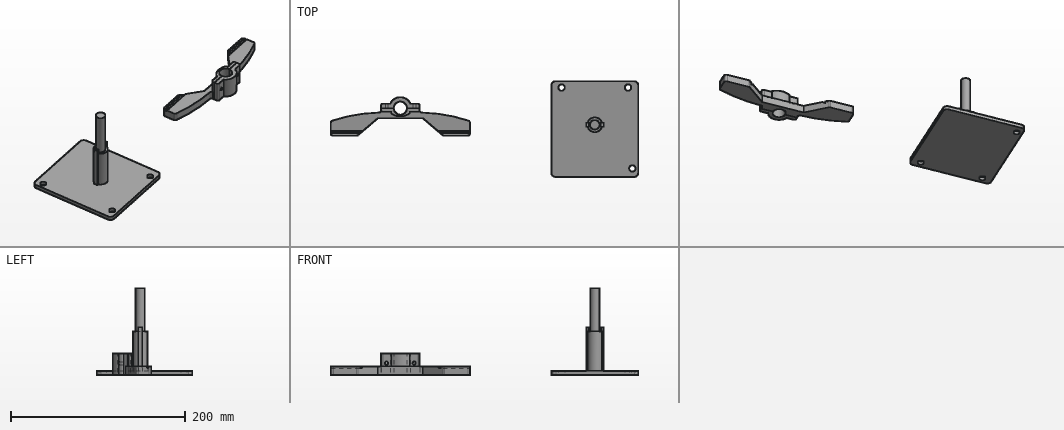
import cadquery as cq
import math


BAR_LENGTH = 160.0
BAR_THICKNESS = 10.0
BAR_BACK_Y = -5.0
BAR_MIDDLE_FRONT_Y = -11.5
BACK_ARC_MIDDLE = (56.5, -8.5)
BAR_END_BACK_Y = -15.0
FOOT_FRONT_Y = -31.8
FOOT_INNER_X = 49.5
SLANT_INNER_X = 25.8
FOOT_CORNER_RADIUS = 3.0
SELECTION_MARGIN = 3.5
GROOVE_Y = -27.5
GROOVE_WIDTH = 3.0
GROOVE_DEPTH = 1.8

CLAMP_HEIGHT = 25.0
BORE_DIAMETER = 15.0
EAR_HALF_SPAN = 22.2
EAR_FRONT_Y = -4.2
EAR_BACK_Y = 5.3
EAR_CORNER_RADIUS = 2.0
EAR_FLARE_RADIUS = 2.5
FRONT_HUB_HALF_WIDTH = 10.5
BACK_HUB_RADIUS = 12.7
FRONT_HUB_DEPTH = 9.5
FRONT_HUB_SIDE_DEPTH = 6.0
SCREW_HOLE_DIAMETER = 3.4
SCREW_HOLE_X = 16.0
SCREW_HOLE_Z = 13.8

POST_X = 223.0
POST_Y = -19.0
PLATE_WIDTH = 100.0
PLATE_DEPTH = 110.0
PLATE_THICKNESS = 5.0
PLATE_OFFSET_Y = -5.0
PLATE_CORNER_RADIUS = 5.0
PLATE_HOLE_DIAMETER = 7.0
PLATE_HOLES = [(-38.0, 42.7), (38.0, 42.7), (43.0, -50.0)]
POST_DIAMETER = 17.0
POST_TOP_Z = 50.0
ROD_DIAMETER = 11.0
ROD_TOP_Z = 100.0
FIN_SPAN = 20.0
FIN_GAP = 14.0
FIN_WIDTH = 5.0
FIN_TOP_Z = 55.0


def block(x_min, x_max, y_min, y_max, height):
    """Upright block standing on Z = 0."""
    return cq.Workplane("XY").box(x_max - x_min, y_max - y_min, height, centered=False).translate(
        (x_min, y_min, 0)
    )


def cut_clamp_holes(body):
    """Cut the bore and the two screw holes through a clamp half."""
    bore = cq.Workplane("XY").circle(BORE_DIAMETER / 2).extrude(CLAMP_HEIGHT)
    screws = (
        cq.Workplane("XZ")
        .pushPoints([(side * SCREW_HOLE_X, SCREW_HOLE_Z) for side in (-1, 1)])
        .circle(SCREW_HOLE_DIAMETER / 2)
        .extrude(2 * EAR_BACK_Y, both=True)
    )
    return body.cut(bore).cut(screws)


def make_bar_outline():
    """Right half of the bowed bar, mirrored about the bore axis."""
    end_x = BAR_LENGTH / 2
    flare_end_x = EAR_HALF_SPAN + EAR_FLARE_RADIUS
    flare_top_y = BAR_BACK_Y + EAR_FLARE_RADIUS
    flare_offset = EAR_FLARE_RADIUS * math.sqrt(0.5)
    half = (
        cq.Workplane("XY")
        .moveTo(0, BAR_MIDDLE_FRONT_Y)
        .lineTo(SLANT_INNER_X, BAR_MIDDLE_FRONT_Y)
        .lineTo(FOOT_INNER_X, FOOT_FRONT_Y)
        .lineTo(end_x, FOOT_FRONT_Y)
        .lineTo(end_x, BAR_END_BACK_Y)
        .threePointArc(BACK_ARC_MIDDLE, (flare_end_x, BAR_BACK_Y))
        .threePointArc(
            (flare_end_x - flare_offset, flare_top_y - flare_offset), (EAR_HALF_SPAN, flare_top_y)
        )
        .lineTo(0, flare_top_y)
        .close()
        .extrude(BAR_THICKNESS)
    )
    foot_corners = cq.selectors.BoxSelector(
        (FOOT_INNER_X - SELECTION_MARGIN, FOOT_FRONT_Y - SELECTION_MARGIN, 0),
        (end_x + SELECTION_MARGIN, BAR_END_BACK_Y + SELECTION_MARGIN, BAR_THICKNESS),
    )
    half = half.edges("|Z").edges(foot_corners).fillet(FOOT_CORNER_RADIUS)
    return half.union(half.mirror("YZ"))


def make_front_ears():
    ears = block(-EAR_HALF_SPAN, EAR_HALF_SPAN, EAR_FRONT_Y, 0, CLAMP_HEIGHT)
    return ears.edges("|Z and <Y").fillet(EAR_CORNER_RADIUS)


def make_front_hub():
    return (
        cq.Workplane("XY")
        .moveTo(-FRONT_HUB_HALF_WIDTH, 0)
        .lineTo(-FRONT_HUB_HALF_WIDTH, -FRONT_HUB_SIDE_DEPTH)
        .threePointArc((0, -FRONT_HUB_DEPTH), (FRONT_HUB_HALF_WIDTH, -FRONT_HUB_SIDE_DEPTH))
        .lineTo(FRONT_HUB_HALF_WIDTH, 0)
        .close()
        .extrude(CLAMP_HEIGHT)
    )


def make_foot_grooves():
    """V groove along X across the top of both feet."""
    return (
        cq.Workplane("YZ")
        .moveTo(GROOVE_Y - GROOVE_WIDTH / 2, BAR_THICKNESS)
        .lineTo(GROOVE_Y, BAR_THICKNESS - GROOVE_DEPTH)
        .lineTo(GROOVE_Y + GROOVE_WIDTH / 2, BAR_THICKNESS)
        .close()
        .extrude(BAR_LENGTH / 2, both=True)
    )


def make_clamp_bar():
    bar = make_bar_outline().union(make_front_ears()).union(make_front_hub())
    return cut_clamp_holes(bar).cut(make_foot_grooves())


def make_clamp_cap():
    ears = block(-EAR_HALF_SPAN, EAR_HALF_SPAN, 0, EAR_BACK_Y, CLAMP_HEIGHT)
    ears = ears.edges("|Z and >Y").fillet(EAR_CORNER_RADIUS)
    back_side = block(-BACK_HUB_RADIUS, BACK_HUB_RADIUS, 0, BACK_HUB_RADIUS, CLAMP_HEIGHT)
    hub = cq.Workplane("XY").circle(BACK_HUB_RADIUS).extrude(CLAMP_HEIGHT).intersect(back_side)
    return cut_clamp_holes(ears.union(hub))


def make_base():
    """Plate, post, rod and fins, built around the post axis."""
    plate = (
        cq.Workplane("XY")
        .center(0, PLATE_OFFSET_Y)
        .rect(PLATE_WIDTH, PLATE_DEPTH)
        .extrude(PLATE_THICKNESS)
        .edges("|Z")
        .fillet(PLATE_CORNER_RADIUS)
    )
    holes = (
        cq.Workplane("XY").pushPoints(PLATE_HOLES).circle(PLATE_HOLE_DIAMETER / 2).extrude(PLATE_THICKNESS)
    )
    post = cq.Workplane("XY").circle(POST_DIAMETER / 2).extrude(POST_TOP_Z)
    rod = cq.Workplane("XY").circle(ROD_DIAMETER / 2).extrude(ROD_TOP_Z)
    base = plate.cut(holes).union(post).union(rod)
    fin = block(FIN_GAP / 2, FIN_SPAN / 2, -FIN_WIDTH / 2, FIN_WIDTH / 2, FIN_TOP_Z)
    for angle in (0, 180):
        base = base.union(fin.rotate((0, 0, 0), (0, 0, 1), angle))
    return base.translate((POST_X, POST_Y, 0))


clamp_bar = make_clamp_bar()
clamp_cap = make_clamp_cap()
base = make_base()

result = cq.Compound.makeCompound([clamp_bar.val(), clamp_cap.val(), base.val()])